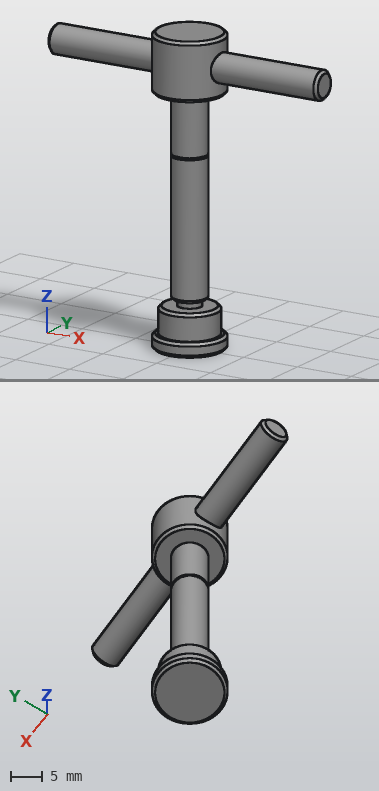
import cadquery as cq

total_height = 52.2
edge_chamfer = 0.5

head_diameter = 12.0
head_height = 10.0
handle_length = 50.0
handle_diameter = 5.0

spindle_diameter = 6.0
upper_spindle_length = 10.0
lower_spindle_chamfer = 0.3
neck_diameter = 4.0
neck_height = 1.05

flange_diameter = 12.0
flange_height = 2.5
foot_diameter = 10.0
foot_height = 7.05

spindle_bottom = foot_height + neck_height
head_bottom = total_height - head_height
upper_spindle_bottom = head_bottom - upper_spindle_length
handle_level = total_height - head_height / 2


def cylinder(diameter, bottom, top):
    """Vertical cylinder on the spindle axis between two levels."""
    return cq.Workplane("XY").workplane(offset=bottom).circle(diameter / 2).extrude(top - bottom)


def make_foot():
    flange = cylinder(flange_diameter, 0, flange_height).edges().chamfer(edge_chamfer)
    body = cylinder(foot_diameter, flange_height / 2, foot_height)
    return flange.union(body.faces(">Z").edges().chamfer(edge_chamfer))


def make_spindle():
    neck = cylinder(neck_diameter, foot_height, spindle_bottom)
    lower = cylinder(spindle_diameter, spindle_bottom, upper_spindle_bottom)
    lower = lower.faces("<Z").edges().chamfer(edge_chamfer)
    lower = lower.faces(">Z").edges().chamfer(lower_spindle_chamfer)
    upper = cylinder(spindle_diameter, upper_spindle_bottom, head_bottom)
    return neck.union(lower).union(upper)


def make_head():
    return cylinder(head_diameter, head_bottom, total_height).edges().chamfer(edge_chamfer)


def make_handle():
    bar = cq.Workplane("YZ").circle(handle_diameter / 2).extrude(handle_length / 2, both=True)
    return bar.faces("<X or >X").edges().chamfer(edge_chamfer).translate((0, 0, handle_level))


result = make_foot().union(make_spindle()).union(make_head()).union(make_handle())